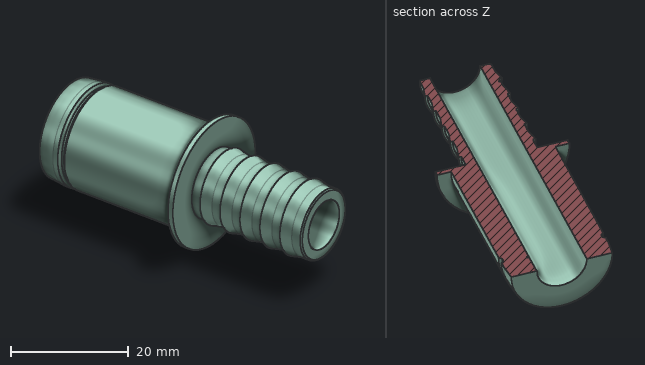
import cadquery as cq

total_length = 53.0
flange_x = 29.0
flange_thickness = 1.0

flange_diameter = 24.0
body_radius = 9.5
nose_radius = 9.15
tail_radius = 6.5
bore_radius = 4.5

nose_length = 2.95
groove_start = 4.05
groove_width = 1.45
groove_depth = 0.5
groove_flank = 0.5

barb_count = 5
barb_radius = 7.0
tail_chamfer = 0.25

flange_end = flange_x + flange_thickness
tail_length = total_length - flange_end

barb_length = tail_length / (2 * barb_count + 1)
barb_pitch = 2 * barb_length
first_barb_x = flange_end + barb_length


def revolve_about_x(points):
    """Revolve a closed (x, radius) outline about the X axis."""
    return cq.Workplane("XY").polyline(points).close().revolve(360, (0, 0, 0), (1, 0, 0))


def cylinder(start, length, radius):
    """Cylinder along the X axis, beginning at x = start."""
    return cq.Workplane("YZ").workplane(offset=start).circle(radius).extrude(length)


def make_body():
    """Solid plug with a tapered nose and a groove around it."""
    groove_end = groove_start + groove_width
    groove_radius = body_radius - groove_depth
    return revolve_about_x([
        (0, 0),
        (0, nose_radius),
        (nose_length, body_radius),
        (groove_start, body_radius),
        (groove_start + groove_flank, groove_radius),
        (groove_end - groove_flank, groove_radius),
        (groove_end, body_radius),
        (flange_x, body_radius),
        (flange_x, 0),
    ])


def make_barb(start):
    """Cone that narrows from its shoulder down to the tail surface."""
    end = start + barb_length
    return revolve_about_x([(start, 0), (start, barb_radius), (end, tail_radius), (end, 0)])


def make_tail():
    """Hose tail with evenly spaced barbs and a chamfered tip."""
    tail = cylinder(flange_end, tail_length, tail_radius)
    tail = tail.faces(">X").chamfer(tail_chamfer)
    for index in range(barb_count):
        tail = tail.union(make_barb(first_barb_x + index * barb_pitch))
    return tail


flange = cylinder(flange_x, flange_thickness, flange_diameter / 2)
bore = cylinder(0, total_length, bore_radius)

result = make_body().union(flange).union(make_tail()).cut(bore)